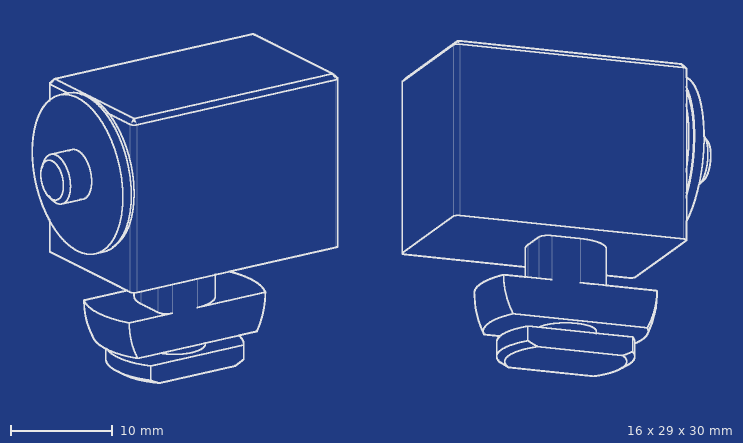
import cadquery as cq
import math


housing_width = 15.0
housing_height = 18.0
housing_front_y = -10.0
housing_length = 24.5
housing_edge = 0.5
rim_angle = 45.0

flange_diameter = 16.0
flange_thickness = 1.0
step_diameter = 15.5
step_thickness = 0.5
flange_above_housing = 0.5
flange_axis_z = housing_height + flange_above_housing - flange_diameter / 2

pin_diameter = 5.0
pin_length = 3.0
pin_chamfer = 0.5
pin_back_y = housing_front_y - step_thickness - flange_thickness

foot_width = 8.0
stem_length = 4.5
stem_corner_radius = 1.0
nut_radius = 9.0
nut_thickness = 3.9
neck_diameter = 6.0
neck_length = 1.1
toe_radius = 6.8
toe_thickness = 2.0
toe_chamfer_height = 0.5
toe_chamfer_width = 0.8
nut_top_z = -stem_length
nut_bottom_z = nut_top_z - nut_thickness
toe_top_z = nut_bottom_z - neck_length
toe_bottom_z = toe_top_z - toe_thickness


def make_housing():
    """Block with rounded upright edges and a chamfered top rim that turns conical at the corners."""
    block = (
        cq.Workplane("XY")
        .box(housing_width, housing_length, housing_height - housing_edge, centered=(True, False, False))
        .translate((0, housing_front_y, 0))
        .edges("|Z")
        .fillet(housing_edge)
    )
    top_rim = (
        block.faces(">Z")
        .wires()
        .toPending()
        .workplane()
        .extrude(housing_edge, taper=rim_angle, combine=False)
    )
    return block.union(top_rim)


def disc_towards_front(diameter, thickness, back_y):
    """Cylinder on the pin axis that grows from back_y towards -Y."""
    return (
        cq.Workplane("XZ", origin=(0, back_y, flange_axis_z))
        .circle(diameter / 2)
        .extrude(thickness)
    )


def make_flange():
    """Stepped disc seated on the front face of the housing."""
    step = disc_towards_front(step_diameter, step_thickness, housing_front_y)
    disc = disc_towards_front(flange_diameter, flange_thickness, housing_front_y - step_thickness)
    return step.union(disc)


def make_pin():
    """Short pin with a chamfered tip, standing on the flange."""
    pin = disc_towards_front(pin_diameter, pin_length, pin_back_y)
    return pin.faces("<Y").chamfer(pin_chamfer)


def make_stem():
    """Stem with two opposite quarters fully round and the other two nearly square."""
    half = foot_width / 2
    flat_end = half - stem_corner_radius
    round_mid = half * math.sqrt(0.5)
    corner_mid = flat_end + stem_corner_radius * math.sqrt(0.5)
    return (
        cq.Workplane("XY", origin=(0, 0, nut_top_z))
        .moveTo(-half, 0)
        .threePointArc((-round_mid, -round_mid), (0, -half))
        .lineTo(flat_end, -half)
        .threePointArc((corner_mid, -corner_mid), (half, -flat_end))
        .lineTo(half, 0)
        .threePointArc((round_mid, round_mid), (0, half))
        .lineTo(-flat_end, half)
        .threePointArc((-corner_mid, corner_mid), (-half, flat_end))
        .close()
        .extrude(stem_length)
    )


def make_foot_head():
    """Nut, neck and toe turned about Z, with the sides cut flat to the foot width."""
    arc_mid_depth = nut_thickness / 2
    arc_mid_radius = math.sqrt(nut_radius**2 - arc_mid_depth**2)
    nut_bottom_radius = math.sqrt(nut_radius**2 - nut_thickness**2)
    turned = (
        cq.Workplane("XZ")
        .moveTo(0, nut_top_z)
        .lineTo(nut_radius, nut_top_z)
        .threePointArc((arc_mid_radius, nut_top_z - arc_mid_depth), (nut_bottom_radius, nut_bottom_z))
        .lineTo(neck_diameter / 2, nut_bottom_z)
        .lineTo(neck_diameter / 2, toe_top_z)
        .lineTo(toe_radius, toe_top_z)
        .lineTo(toe_radius, toe_bottom_z + toe_chamfer_height)
        .lineTo(toe_radius - toe_chamfer_width, toe_bottom_z)
        .lineTo(0, toe_bottom_z)
        .close()
        .revolve(360, (0, 0, 0), (0, 1, 0))
    )
    slab = (
        cq.Workplane("XY", origin=(0, 0, toe_bottom_z))
        .rect(foot_width, 2 * nut_radius)
        .extrude(nut_top_z - toe_bottom_z)
    )
    return turned.intersect(slab)


def make_foot():
    """One-piece slot foot hanging from the underside of the housing."""
    return make_stem().union(make_foot_head())


housing = make_housing()
flange = make_flange()
pin = make_pin()
foot = make_foot()

result = cq.Compound.makeCompound([body.solids().val() for body in (housing, flange, pin, foot)])